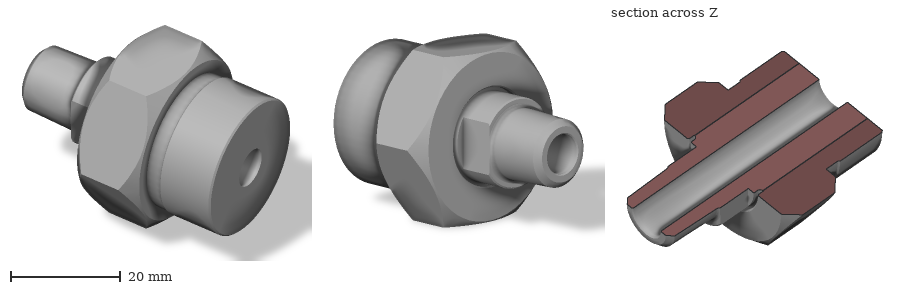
import cadquery as cq
import math

length = 46.5
hex_start = 18.95
hex_end = 32.55
thread_start = 35.7
collar_start = 11.95

through_bore_diameter = 7.5
bore_countersink = 0.25
tip_chamfer = 1.15
taper_start_radius = 6.395
taper_ratio = 1 / 32
root_fillet = 0.7
collar_diameter = 17.0
collar_chamfer = 0.3
flats_width = 14.0
flats_end = hex_start - 0.15
journal_diameter = 18.5
journal_start = 20.45
journal_fillet = (journal_diameter - collar_diameter) / 2

hex_across_flats = 32.0
hex_across_corners = hex_across_flats / math.cos(math.pi / 6)
hex_face_radius = 15.7
hex_chamfer = hex_across_corners / 2 - hex_face_radius
relief_diameter = 26.4
thread_diameter = 27.0
thread_lead = (thread_diameter - relief_diameter) / 2
thread_end_chamfer = 0.33
bore_lead = 0.3


def x_cylinder(diameter, start, end):
    """Solid cylinder on the X axis between two positions."""
    return cq.Workplane("YZ").workplane(offset=start).circle(diameter / 2).extrude(end - start)


def revolve_profile(profile):
    """Turn a closed XY profile around the X axis."""
    return profile.close().revolve(360, (0, 0, 0), (1, 0, 0))


def make_stem_blank():
    """Tapered tip, collar and journal as one turned solid."""
    taper_end = collar_start - root_fillet
    taper_end_radius = taper_start_radius + (taper_end - tip_chamfer) * taper_ratio
    collar_radius = collar_diameter / 2
    journal_radius = journal_diameter / 2
    arc_side = math.sqrt(0.5)
    root_middle = (
        taper_end + root_fillet * arc_side,
        taper_end_radius + root_fillet * (1 - arc_side),
    )
    journal_middle = (
        journal_start - journal_fillet * (1 - arc_side),
        collar_radius + journal_fillet * (1 - arc_side),
    )
    return revolve_profile(
        cq.Workplane("XY")
        .moveTo(0, 0)
        .lineTo(0, taper_start_radius - tip_chamfer)
        .lineTo(tip_chamfer, taper_start_radius)
        .lineTo(taper_end, taper_end_radius)
        .threePointArc(root_middle, (collar_start, taper_end_radius + root_fillet))
        .lineTo(collar_start, collar_radius - collar_chamfer)
        .lineTo(collar_start + collar_chamfer, collar_radius)
        .lineTo(journal_start - journal_fillet, collar_radius)
        .threePointArc(journal_middle, (journal_start, journal_radius))
        .lineTo(length, journal_radius)
        .lineTo(length, 0)
    )


def cut_wrench_flats(stem):
    """Mill two parallel flats on the +Y and -Y sides of the collar and its root fillet."""
    flats_start = collar_start - root_fillet
    flats_length = flats_end - flats_start
    flat_depth = collar_diameter - flats_width
    for side in (1, -1):
        cutter = cq.Workplane("XY").box(flats_length, flat_depth, collar_diameter).translate(
            (flats_start + flats_length / 2, side * (flats_width + flat_depth) / 2, 0)
        )
        stem = stem.cut(cutter)
    return stem


def make_stem():
    """Stem with wrench flats and a countersunk through bore."""
    stem = cut_wrench_flats(make_stem_blank())
    stem = stem.cut(x_cylinder(through_bore_diameter, 0, length))
    return stem.faces("<X").edges(cq.selectors.RadiusNthSelector(0)).chamfer(bore_countersink)


def make_hexagon():
    """Hexagon with corners along Y, chamfered at 45 degrees on both ends."""
    hexagon = (
        cq.Workplane("YZ").workplane(offset=hex_start)
        .polygon(6, hex_across_corners).extrude(hex_end - hex_start)
    )
    envelope = x_cylinder(hex_across_corners, hex_start, hex_end).faces("<X or >X").chamfer(hex_chamfer)
    return hexagon.intersect(envelope)


def make_hex_body():
    """Hexagon, thread relief and thread cylinder, bored to receive the stem."""
    relief = x_cylinder(relief_diameter, hex_end, thread_start)
    thread = x_cylinder(thread_diameter, thread_start - thread_lead, length)
    thread = thread.faces("<X").chamfer(thread_lead).faces(">X").chamfer(thread_end_chamfer)
    body = make_hexagon().union(relief).union(thread)
    body = body.cut(x_cylinder(journal_diameter, hex_start, length))
    return body.faces("<X").edges(cq.selectors.RadiusNthSelector(0)).chamfer(bore_lead)


stem = make_stem()
hex_body = make_hex_body()

result = cq.Compound.makeCompound([stem.val(), hex_body.val()])